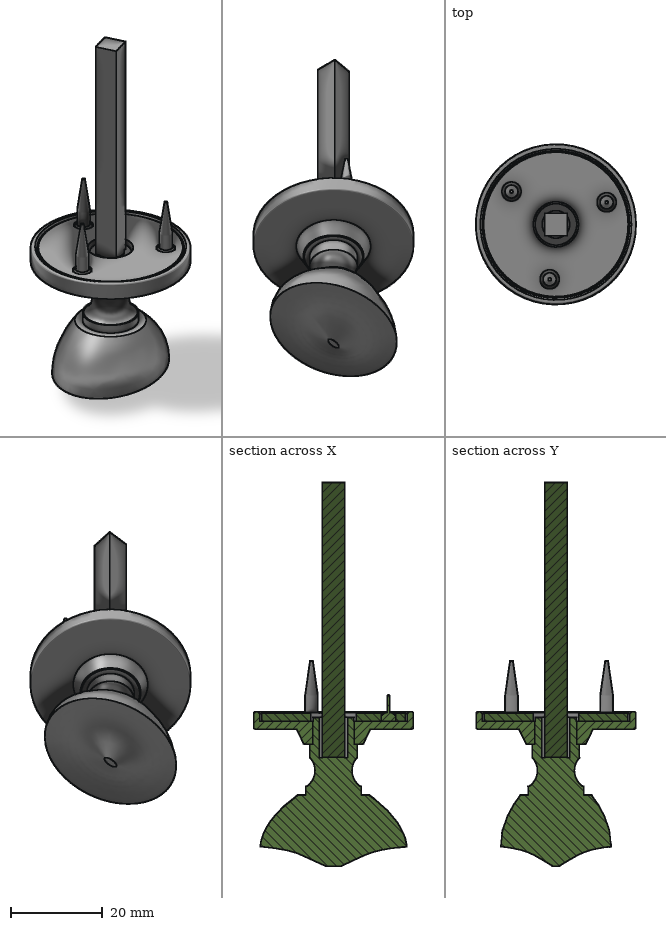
import cadquery as cq
import math


OVERALL_LENGTH = 83.8

ROSE_RADIUS = 17.5
ROSE_THICKNESS = 3.85
ROSE_EDGE_FILLET = 0.4
LIP_INNER_RADIUS = 16.5
LIP_BEVEL = 0.4
POCKET_RADIUS = LIP_INNER_RADIUS - LIP_BEVEL
BOSS_TOP_RADIUS = 8.1
BOSS_BOTTOM_RADIUS = 6.5
BOSS_BOTTOM_Z = -7.1
BOSS_EDGE_CHAMFER = 0.2

INSERT_RECESS = 0.25
INSERT_THICKNESS = 1.85
INSERT_RADIUS = 15.75
INSERT_BORE_RADIUS = 4.9
INSERT_TOP_Z = -INSERT_RECESS
INSERT_BOTTOM_Z = INSERT_TOP_Z - INSERT_THICKNESS

SCREW_COUNT = 3
SCREW_CIRCLE_RADIUS = 12.1
SCREW_START_ANGLE = 23.5
SCREW_HEAD_RADIUS = 2.1
SCREW_SHANK_RADIUS = 1.4
SCREW_TIP_RADIUS = 0.3
SCREW_NECK_BOTTOM_Z = -0.75
SCREW_NECK_TOP_Z = -0.1
SCREW_SHANK_TOP_Z = 3.5
SCREW_TIP_Z = 11.05

SPINDLE_WIDTH = 4.9
SPINDLE_TOP_Z = 50.0
SOCKET_RADIUS = 3.0

JOURNAL_RADIUS = 4.5
JOURNAL_TOP_Z = -1.25
COLLAR_RADIUS = 5.2
COLLAR_BOTTOM_Z = -10.05
WAIST_RADIUS = 4.1
WAIST_Z = -12.6
WAIST_END_RADIUS = 5.9
FLANGE_RADIUS = 6.1
FLANGE_TOP_Z = -16.25
DOME_TOP_Z = -18.2
DOME_TOP_RADIUS = 7.8
DOME_BULGE_X = 1.0
DOME_BULGE_Y = 0.85
RIM_Z = -29.15
RIM_HEIGHT = 0.3
RIM_RADIUS_X = 12.1
RIM_RADIUS_Y = 16.0
RIM_BOTTOM_Z = RIM_Z - RIM_HEIGHT
TIP_RADIUS_X = 0.7
TIP_RADIUS_Y = 1.7
TIP_Z = SPINDLE_TOP_Z - OVERALL_LENGTH
BASE_CONE_SHARE = 0.63
BASE_FLARE_POWER = 7
LOFT_STEPS = 8
SOCKET_BOTTOM_Z = COLLAR_BOTTOM_Z


def cylinder(radius, bottom, top):
    return cq.Workplane("XY", origin=(0, 0, bottom)).circle(radius).extrude(top - bottom)


def square_bar(width, bottom, top):
    return cq.Workplane("XY", origin=(0, 0, bottom)).rect(width, width).extrude(top - bottom)


def spin(profile):
    """Revolve a closed (radius, Z) profile about the Z axis."""
    return profile.close().revolve(360, (0, 0, 0), (0, 1, 0))


def screw_positions():
    step = 360 / SCREW_COUNT
    angles = [math.radians(SCREW_START_ANGLE + i * step) for i in range(SCREW_COUNT)]
    return [(SCREW_CIRCLE_RADIUS * math.cos(a), SCREW_CIRCLE_RADIUS * math.sin(a)) for a in angles]


def make_rose():
    plate = cylinder(ROSE_RADIUS, -ROSE_THICKNESS, 0).edges().fillet(ROSE_EDGE_FILLET)
    boss = spin(
        cq.Workplane("XZ")
        .moveTo(0, -ROSE_THICKNESS)
        .lineTo(BOSS_TOP_RADIUS, -ROSE_THICKNESS)
        .lineTo(BOSS_BOTTOM_RADIUS, BOSS_BOTTOM_Z)
        .lineTo(0, BOSS_BOTTOM_Z)
    )
    boss = boss.faces("<Z").edges().chamfer(BOSS_EDGE_CHAMFER)
    pocket = spin(
        cq.Workplane("XZ")
        .moveTo(0, 0)
        .lineTo(LIP_INNER_RADIUS, 0)
        .lineTo(POCKET_RADIUS, -LIP_BEVEL)
        .lineTo(POCKET_RADIUS, INSERT_BOTTOM_Z)
        .lineTo(0, INSERT_BOTTOM_Z)
    )
    journal_bore = cylinder(JOURNAL_RADIUS, BOSS_BOTTOM_Z, INSERT_BOTTOM_Z)
    return plate.union(boss).cut(pocket).cut(journal_bore)


def make_insert():
    disc = cylinder(INSERT_RADIUS, INSERT_BOTTOM_Z, INSERT_TOP_Z)
    bore = cylinder(INSERT_BORE_RADIUS, INSERT_BOTTOM_Z, INSERT_TOP_Z)
    disc = disc.cut(bore)
    for x, y in screw_positions():
        hole = cylinder(SCREW_HEAD_RADIUS, INSERT_BOTTOM_Z, INSERT_TOP_Z)
        disc = disc.cut(hole.translate((x, y, 0)))
    return disc


def make_screw(x, y):
    screw = spin(
        cq.Workplane("XZ")
        .moveTo(0, INSERT_BOTTOM_Z)
        .lineTo(SCREW_HEAD_RADIUS, INSERT_BOTTOM_Z)
        .lineTo(SCREW_HEAD_RADIUS, SCREW_NECK_BOTTOM_Z)
        .lineTo(SCREW_SHANK_RADIUS, SCREW_NECK_TOP_Z)
        .lineTo(SCREW_SHANK_RADIUS, SCREW_SHANK_TOP_Z)
        .lineTo(SCREW_TIP_RADIUS, SCREW_TIP_Z)
        .lineTo(0, SCREW_TIP_Z)
    )
    return screw.translate((x, y, 0))


def make_spindle():
    return square_bar(SPINDLE_WIDTH, SOCKET_BOTTOM_Z, SPINDLE_TOP_Z)


def make_knob_neck():
    return spin(
        cq.Workplane("XZ")
        .moveTo(0, JOURNAL_TOP_Z)
        .lineTo(JOURNAL_RADIUS, JOURNAL_TOP_Z)
        .lineTo(JOURNAL_RADIUS, BOSS_BOTTOM_Z)
        .lineTo(COLLAR_RADIUS, BOSS_BOTTOM_Z)
        .lineTo(COLLAR_RADIUS, COLLAR_BOTTOM_Z)
        .threePointArc((WAIST_RADIUS, WAIST_Z), (WAIST_END_RADIUS, FLANGE_TOP_Z))
        .lineTo(FLANGE_RADIUS, FLANGE_TOP_Z)
        .lineTo(FLANGE_RADIUS, DOME_TOP_Z)
        .lineTo(0, DOME_TOP_Z)
    )


def oval(radius_x, radius_y, z):
    """Horizontal ellipse about the Z axis, with its long axis along Y."""
    return cq.Wire.makeEllipse(
        radius_y,
        radius_x,
        cq.Vector(0, 0, z),
        cq.Vector(0, 0, 1),
        cq.Vector(0, 1, 0),
    )


def between(start, end, share):
    return start + (end - start) * share


def dome_share(fraction, bulge):
    """Share of the widening reached at a fraction of the way down the dome."""
    return fraction * (1 + bulge * (1 - fraction))


def make_knob_dome():
    """Loft from the round top down to the oval rim."""
    sections = []
    for i in range(LOFT_STEPS + 1):
        fraction = i / LOFT_STEPS
        radius_x = between(DOME_TOP_RADIUS, RIM_RADIUS_X, dome_share(fraction, DOME_BULGE_X))
        radius_y = between(DOME_TOP_RADIUS, RIM_RADIUS_Y, dome_share(fraction, DOME_BULGE_Y))
        sections.append(oval(radius_x, radius_y, between(DOME_TOP_Z, RIM_Z, fraction)))
    return cq.Workplane(cq.Solid.makeLoft(sections))


def make_knob_rim():
    rim = cq.Workplane("XY", origin=(0, 0, RIM_BOTTOM_Z))
    return rim.ellipse(RIM_RADIUS_X, RIM_RADIUS_Y).extrude(RIM_HEIGHT)


def make_knob_base():
    """Loft from the blunt tip up to the rim: a cone that flares out as it nears the rim."""
    sections = []
    for i in range(LOFT_STEPS + 1):
        fraction = 1 - (1 - i / LOFT_STEPS) ** 2
        flare = fraction**BASE_FLARE_POWER
        share = between(flare, fraction, BASE_CONE_SHARE)
        radius_x = between(TIP_RADIUS_X, RIM_RADIUS_X, share)
        radius_y = between(TIP_RADIUS_Y, RIM_RADIUS_Y, share)
        sections.append(oval(radius_x, radius_y, between(TIP_Z, RIM_BOTTOM_Z, fraction)))
    return cq.Workplane(cq.Solid.makeLoft(sections))


def make_knob():
    body = make_knob_neck()
    for part in (make_knob_dome(), make_knob_rim(), make_knob_base()):
        body = body.union(part)
    round_socket = cylinder(SOCKET_RADIUS, SOCKET_BOTTOM_Z, JOURNAL_TOP_Z)
    square_socket = square_bar(SPINDLE_WIDTH, SOCKET_BOTTOM_Z, JOURNAL_TOP_Z)
    return body.cut(round_socket).cut(square_socket)


rose = make_rose()
insert = make_insert()
screws = [make_screw(x, y) for x, y in screw_positions()]
spindle = make_spindle()
knob = make_knob()

result = cq.Compound.makeCompound(
    [rose.val(), insert.val(), spindle.val(), knob.val(), *[screw.val() for screw in screws]]
)